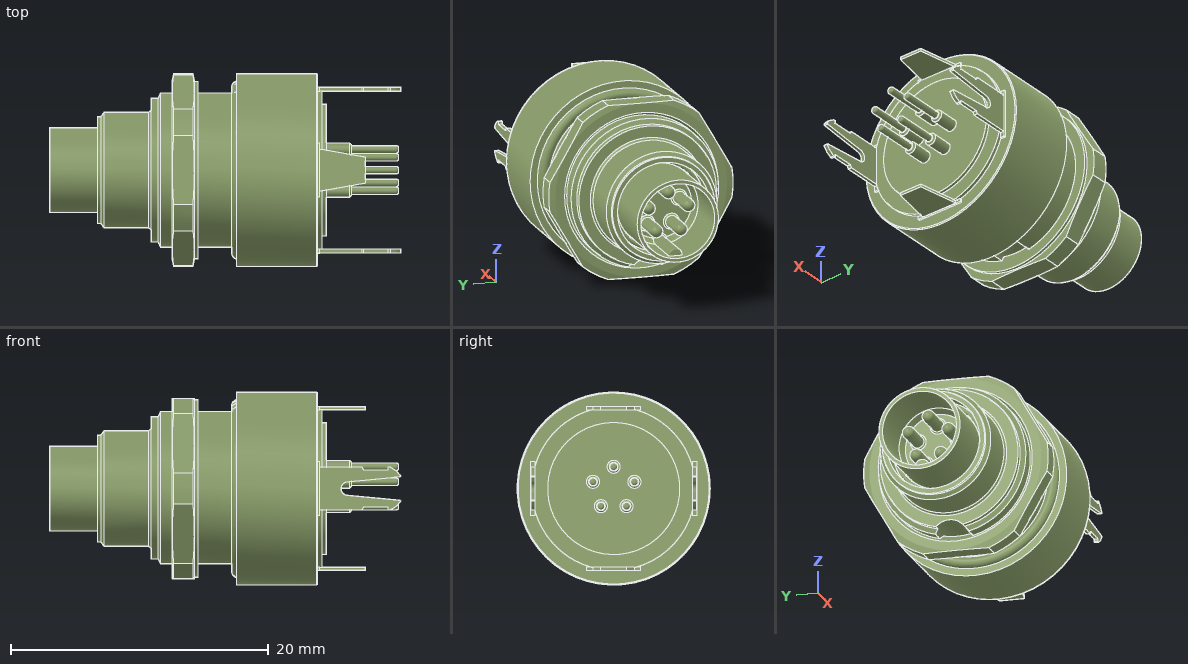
import cadquery as cq
import math


length = 27.25
collar_x = 3.7
rim_end_x = 3.98
sleeve_end_x = 7.88
lip_end_x = 8.42
nut_x = 9.5
nut_end_x = 11.23
flange_end_x = 11.53
body_x = 14.5
body_end_x = 20.8
disc_end_x = 21.15
ring_end_x = 21.47

plug_radius = 6.6 / 2
bore_radius = 6.0 / 2
recess_radius = 7.5 / 2
rim_radius = 8.3 / 2
sleeve_radius = 9.0 / 2
lip_radius = 5.59
thread_radius = 12.0 / 2
body_radius = 15.0 / 2
disc_radius = 6.35
ring_radius = 10.25 / 2

sleeve_chamfer_length = 0.25
flare_length = 0.2
flare_height = 0.15
thread_chamfer_length = 0.2
body_chamfer = 0.08

floor_x = 4.9
floor_radius = 2.65
taper_length = 0.55
recess_depth = 1.64

plug_seal_clearance = 0.03
plug_seal_section = (recess_radius - plug_radius) / 2 - plug_seal_clearance
plug_seal_radius = (recess_radius + plug_radius) / 2
plug_seal_seating = 0.05
body_seal_section = 0.5
body_seal_radius = 6.43
body_seal_protrusion = 0.38

nut_across_flats = 14.0
nut_face_radius = 6.98
nut_chamfer_length = 0.1
flange_radius = 6.9
nut_bore_radius = 5.67
nut_bevel = 0.57

keyway_radius = 1.5
keyway_floor = 5.01
key_x = 0.55
key_radius = 0.55
key_offset = 2.9
key_flat_offset = 2.92
key_nose_round = 0.14

foot_flare = 0.14
foot_height = 0.14

pin_count = 5
pin_circle_radius = 1.7
contact_radius = 1.0 / 2
contact_tip_x = 1.9
shoulder_end_x = 23.44
shoulder_chamfer = 0.15
solder_pin_radius = 0.6 / 2
solder_pin_end_x = 27.1
solder_pin_round = 0.2

tab_inner = 6.1
flat_tab_outer = 6.35
fork_tab_outer = 6.43
tab_foot_half_width = 2.1
tab_foot_end_x = 20.95
tab_foot_step = 0.03
flat_tab_end_x = 24.5
flat_tab_root_half_width = 1.6
flat_tab_tip_half_width = 1.0
fork_half_width = 1.65
fork_waist_half_width = 1.45
fork_waist_x = 24.23
fork_waist_end_x = 26.25
fork_step = 0.14
fork_barb_end_x = 26.43
fork_shoulder_x = 26.92
fork_shoulder_z = 1.35
fork_tip_z = 0.98
fork_slot_tip_x = 27.17
fork_slot_tip_z = 0.9
fork_slot_radius = 0.52
fork_slot_centre_x = 23.14


def revolve_about_x(points):
    """Turn a closed (x, radius) outline about the X axis."""
    return cq.Workplane("XY").polyline(points).close().revolve(360, (0, 0, 0), (1, 0, 0))


def cylinder_along_x(start, end, radius, z=0.0):
    """Round bar parallel to X, its centre at height z."""
    return cq.Workplane("YZ", origin=(start, 0, z)).circle(radius).extrude(end - start)


def seal_ring(centre_x, ring_radius_to_centre, section_radius):
    """O-ring centred on the X axis."""
    section = cq.Workplane("XY").moveTo(centre_x, ring_radius_to_centre).circle(section_radius)
    return section.revolve(360, (0, 0, 0), (1, 0, 0))


def turned_shell():
    """Stepped shell with the plug bore, the ring groove and the keyway."""
    shell = revolve_about_x([
        (0, 0),
        (0, plug_radius),
        (collar_x, plug_radius),
        (collar_x, rim_radius),
        (rim_end_x, rim_radius),
        (rim_end_x + sleeve_chamfer_length, sleeve_radius),
        (sleeve_end_x - flare_length, sleeve_radius),
        (sleeve_end_x, sleeve_radius + flare_height),
        (sleeve_end_x, lip_radius),
        (lip_end_x, lip_radius),
        (lip_end_x + thread_chamfer_length, thread_radius),
        (body_x, thread_radius),
        (body_x, body_radius),
        (body_end_x - body_chamfer, body_radius),
        (body_end_x, body_radius - body_chamfer),
        (body_end_x, disc_radius),
        (disc_end_x, disc_radius),
        (disc_end_x, ring_radius),
        (ring_end_x, ring_radius),
        (ring_end_x, 0),
    ])
    bore = revolve_about_x([
        (0, 0),
        (0, bore_radius),
        (floor_x - taper_length, bore_radius),
        (floor_x, floor_radius),
        (floor_x, 0),
    ])
    groove = revolve_about_x([
        (collar_x, plug_radius),
        (collar_x, recess_radius),
        (collar_x + recess_depth, recess_radius),
        (collar_x + recess_depth, plug_radius),
    ])
    keyway = cylinder_along_x(sleeve_end_x, body_x, keyway_radius, z=-keyway_floor - keyway_radius)
    return shell.cut(bore).cut(groove).cut(keyway)


def nut():
    """Hexagon with flats facing +Z and -Z, its corners turned down, and a round rear flange."""
    corner_distance = nut_across_flats / math.cos(math.pi / 6)
    hexagon = cq.Workplane("YZ", origin=(nut_x, 0, 0)).polygon(6, corner_distance)
    hexagon = hexagon.extrude(nut_end_x - nut_x)
    turned = revolve_about_x([
        (nut_x, 0),
        (nut_x, nut_face_radius),
        (nut_x + nut_chamfer_length, body_radius),
        (nut_end_x - nut_chamfer_length, body_radius),
        (nut_end_x, nut_face_radius),
        (nut_end_x, 0),
    ])
    flange = cylinder_along_x(nut_end_x, flange_end_x, flange_radius)
    hole = cylinder_along_x(nut_x, flange_end_x, nut_bore_radius)
    bevel = revolve_about_x([
        (nut_x, 0),
        (nut_x, nut_bore_radius + nut_bevel),
        (nut_x + nut_bevel, nut_bore_radius),
        (nut_x + nut_bevel, 0),
    ])
    return hexagon.intersect(turned).union(flange).cut(hole).cut(bevel)


def floor_foot(radius):
    """Low cone on the bore floor, narrowing to the given radius."""
    return revolve_about_x([
        (floor_x, 0),
        (floor_x, radius + foot_flare),
        (floor_x - foot_height, radius),
        (floor_x - foot_height, 0),
    ])


def plug_key():
    """Rounded key standing on the bore floor, its flat side facing the bottom of the bore."""
    key = cylinder_along_x(key_x, floor_x, key_radius, z=-key_offset)
    key = key.faces("<X").edges().fillet(key_nose_round)
    flat_side = cq.Workplane("XY", origin=(key_x, 0, -key_flat_offset))
    flat_side = flat_side.rect(2 * floor_x, 2 * plug_radius).extrude(-key_radius)
    foot = floor_foot(key_radius).translate((0, 0, -key_offset))
    foot = foot.intersect(cylinder_along_x(key_x, floor_x, (plug_radius + bore_radius) / 2))
    return key.cut(flat_side).union(foot)


def pin():
    """One contact on the X axis: domed front end, rear shoulder and rounded solder end."""
    dome_x = contact_tip_x + contact_radius
    contact = cylinder_along_x(dome_x, shoulder_end_x, contact_radius).faces(">X").chamfer(shoulder_chamfer)
    dome = cq.Workplane("XY", origin=(dome_x, 0, 0)).sphere(contact_radius)
    solder_end = cylinder_along_x(floor_x, solder_pin_end_x, solder_pin_radius)
    solder_end = solder_end.faces(">X").edges().fillet(solder_pin_round)
    return contact.union(dome).union(floor_foot(contact_radius)).union(solder_end)


def tab_foot(plane, outer):
    """Wide root of a tab on the body's rear face, slightly thicker than the tab."""
    points = [
        (body_end_x, -tab_foot_half_width),
        (body_end_x, tab_foot_half_width),
        (tab_foot_end_x, tab_foot_half_width),
        (tab_foot_end_x, -tab_foot_half_width),
    ]
    return plane.polyline(points).close().extrude(outer + tab_foot_step - tab_inner)


def flat_tab():
    """Tapered tab on the +Z side."""
    plane = cq.Workplane("XY", origin=(0, 0, tab_inner))
    points = [
        (body_end_x, -flat_tab_root_half_width),
        (disc_end_x, -flat_tab_root_half_width),
        (flat_tab_end_x, -flat_tab_tip_half_width),
        (flat_tab_end_x, flat_tab_tip_half_width),
        (disc_end_x, flat_tab_root_half_width),
        (body_end_x, flat_tab_root_half_width),
    ]
    tab = plane.polyline(points).close().extrude(flat_tab_outer - tab_inner)
    return tab.union(tab_foot(plane, flat_tab_outer))


def fork_tab():
    """Forked tab with barbed tips on the -Y side."""
    plane = cq.Workplane("XZ", origin=(0, -tab_inner, 0))
    upper_edge = [
        (body_end_x, fork_half_width),
        (fork_waist_x, fork_half_width),
        (fork_waist_x + fork_step, fork_waist_half_width),
        (fork_waist_end_x, fork_waist_half_width),
        (fork_waist_end_x, fork_half_width),
        (fork_barb_end_x, fork_half_width),
        (fork_shoulder_x, fork_shoulder_z),
        (length, fork_tip_z),
        (fork_slot_tip_x, fork_slot_tip_z),
        (fork_slot_centre_x, fork_slot_radius),
    ]
    lower_edge = [(x, -z) for x, z in reversed(upper_edge)]
    outline = plane.polyline(upper_edge)
    outline = outline.threePointArc((fork_slot_centre_x - fork_slot_radius, 0), lower_edge[0])
    for point in lower_edge[1:]:
        outline = outline.lineTo(*point)
    tab = outline.close().extrude(fork_tab_outer - tab_inner)
    return tab.union(tab_foot(plane, fork_tab_outer))


plug_seal_x = collar_x + recess_depth + plug_seal_seating - plug_seal_section
plug_seal = seal_ring(plug_seal_x, plug_seal_radius, plug_seal_section)
body_seal_x = body_x - body_seal_protrusion + body_seal_section
body_seal = seal_ring(body_seal_x, body_seal_radius, body_seal_section)

result = turned_shell().union(nut()).union(plug_seal).union(body_seal).union(plug_key())

for index in range(pin_count):
    angle = math.pi / 2 + index * 2 * math.pi / pin_count
    position = (0, pin_circle_radius * math.cos(angle), pin_circle_radius * math.sin(angle))
    result = result.union(pin().translate(position))

for turn in (0, 180):
    for tab in (flat_tab(), fork_tab()):
        result = result.union(tab.rotate((0, 0, 0), (1, 0, 0), turn))